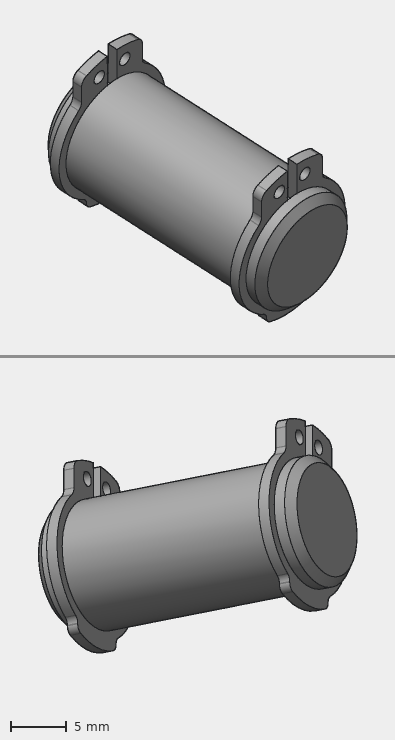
import cadquery as cq
import math

pin_length = 27.0
pin_radius = 6.0
pin_chamfer = 0.8
groove_depth = 1.08
groove_radius = pin_radius - groove_depth

ring_thickness = 1.08
ring_end_offset = 1.9
ring_diameter = 13.8
ring_radius = ring_diameter / 2

upper_lug_radius = 9.5
upper_lug_half_width = 3.97
upper_lug_fillet = 1.0
gap_width = 1.25
plier_hole_diameter = 1.35
plier_hole_spacing = 3.32
plier_hole_z = 7.65

lower_lug_radius = 7.8
lower_lug_half_width = 3.32
lower_corner_fillet = 0.8
lower_root_fillet = 0.75


def make_pin():
    pin = cq.Workplane("YZ").circle(pin_radius).extrude(pin_length)
    pin = pin.faces("<X or >X").chamfer(pin_chamfer)
    return pin.translate((-pin_length / 2, 0, 0))


def make_groove():
    return cq.Workplane("YZ").circle(pin_radius).circle(groove_radius).extrude(ring_thickness)


def fillet_at_radius(body, half_width, radius, direction, fillet):
    """Round the two edges along X where the lug sides meet a circle about the pin axis."""
    z = direction * math.sqrt(radius**2 - half_width**2)
    for y in (-half_width, half_width):
        edge = cq.selectors.NearestToPointSelector((ring_thickness / 2, y, z))
        body = body.edges("|X").edges(edge).fillet(fillet)
    return body


def add_lug(ring, half_width, radius, direction, corner_fillet, root_fillet):
    """Add a lug with an arc tip; direction is +1 for upward, -1 for downward."""
    strip = (
        cq.Workplane("YZ")
        .center(0, direction * radius / 2)
        .rect(2 * half_width, radius)
        .extrude(ring_thickness)
    )
    lug = cq.Workplane("YZ").circle(radius).extrude(ring_thickness).intersect(strip)
    lug = fillet_at_radius(lug, half_width, radius, direction, corner_fillet)
    ring = ring.union(lug)
    return fillet_at_radius(ring, half_width, ring_radius, direction, root_fillet)


def make_ring():
    ring = cq.Workplane("YZ").circle(ring_radius).extrude(ring_thickness)
    ring = add_lug(ring, upper_lug_half_width, upper_lug_radius, 1, upper_lug_fillet, upper_lug_fillet)
    ring = add_lug(ring, lower_lug_half_width, lower_lug_radius, -1, lower_corner_fillet, lower_root_fillet)

    gap = (
        cq.Workplane("YZ")
        .center(0, upper_lug_radius / 2)
        .rect(gap_width, upper_lug_radius)
        .extrude(ring_thickness)
    )
    plier_holes = (
        cq.Workplane("YZ")
        .center(0, plier_hole_z)
        .rarray(plier_hole_spacing, 0.27, 2, 1)
        .circle(plier_hole_diameter / 2)
        .extrude(ring_thickness)
    )
    bore = cq.Workplane("YZ").circle(groove_radius).extrude(ring_thickness)
    return ring.cut(bore).cut(gap).cut(plier_holes)


ring = make_ring()
left_ring_x = -pin_length / 2 + ring_end_offset
right_ring_x = pin_length / 2 - ring_end_offset - ring_thickness

result = make_pin()
for ring_x in (left_ring_x, right_ring_x):
    result = result.cut(make_groove().translate((ring_x, 0, 0)))
    result = result.union(ring.translate((ring_x, 0, 0)))